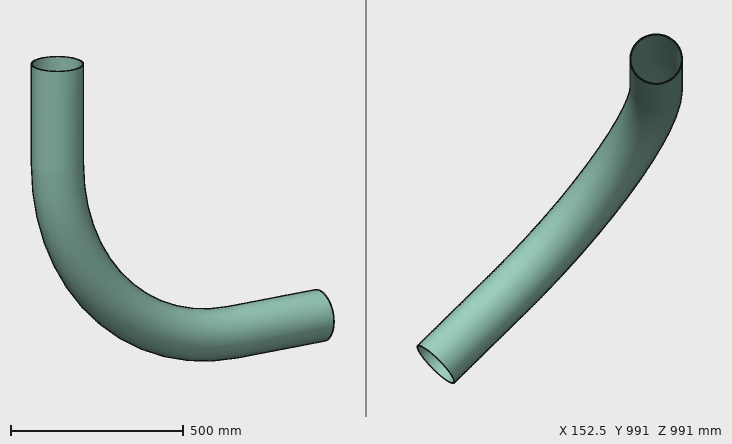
import cadquery as cq
import math

overall_size = 991.0
wall = 3.0
leg_diameters = 2.0
bend_diameters = 4.0

outer_diameter = overall_size / (leg_diameters + bend_diameters + 0.5)
outer_radius = outer_diameter / 2
inner_radius = outer_radius - wall
leg_length = leg_diameters * outer_diameter
bend_radius = bend_diameters * outer_diameter

half_size = overall_size / 2
vertical_leg_y = -half_size + outer_radius
horizontal_leg_z = -half_size + outer_radius
bend_centre_y = vertical_leg_y + bend_radius
bend_centre_z = horizontal_leg_z + bend_radius
bend_middle_offset = bend_radius * math.cos(math.radians(45))

centreline = (
    cq.Workplane("YZ")
    .moveTo(vertical_leg_y, half_size)
    .lineTo(vertical_leg_y, half_size - leg_length)
    .threePointArc(
        (bend_centre_y - bend_middle_offset, bend_centre_z - bend_middle_offset),
        (bend_centre_y, horizontal_leg_z),
    )
    .lineTo(half_size, horizontal_leg_z)
)

result = (
    cq.Workplane("XY", origin=(0, vertical_leg_y, half_size))
    .circle(outer_radius)
    .circle(inner_radius)
    .sweep(centreline)
)